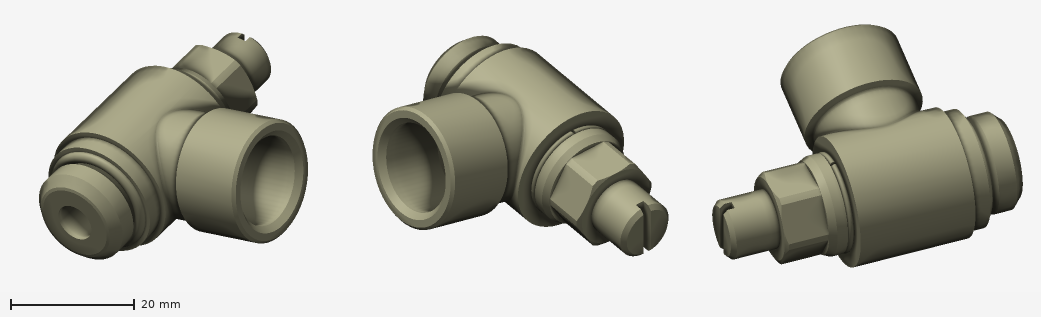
import cadquery as cq
import math

BODY_DIAMETER = 22
BODY_LENGTH = 20
BODY_FRONT = -BODY_LENGTH / 2
BODY_BACK = BODY_LENGTH / 2
OVERALL_LENGTH = 50
THREADED_END = -20
SCREW_END = THREADED_END + OVERALL_LENGTH

FLANGE_DIAMETER = 20
FLANGE_LENGTH = 3
SEAL_DIAMETER = 18.4
SEAL_THICKNESS = 2
NECK_DIAMETER = 14.5
STUB_DIAMETER = 16.5
STUB_INNER_CHAMFER = (STUB_DIAMETER - NECK_DIAMETER) / 2
STUB_LENGTH = 5.8
STUB_NOSE_DIAMETER = 13.5
STUB_NOSE_LENGTH = 1.55
END_FACE_DIAMETER = 12.5
END_TAPER_LENGTH = 0.15
BORE_DIAMETER = 6.5
BORE_DEPTH = 10

RING_DIAMETER = 17
RING_WIDTH = 1
RING_GAP = 0.55
COLLAR_SPACING = 1.2
COLLAR_DIAMETER = 16.85
COLLAR_TOP_DIAMETER = 15.7
COLLAR_LENGTH = 3.1
COLLAR_CHAMFER = 1.25

HEX_ACROSS_FLATS = 14
HEX_CORNER_DIAMETER = 15.5
HEX_LENGTH = 7.4
HEX_CHAMFER_WIDTH = 0.75
HEX_CHAMFER_HEIGHT = HEX_CHAMFER_WIDTH * math.tan(math.radians(30))
SCREW_DIAMETER = 10
SCREW_CHAMFER = 0.75
SLOT_WIDTH = 1.55
SLOT_DEPTH = 2

BRANCH_TILT = 15
BRANCH_DIAMETER = 18
BRANCH_ROOT_FILLET = 0.4
SOCKET_DIAMETER = 20.5
SOCKET_START = 13.5
SOCKET_CONE_LENGTH = 0.7
SOCKET_ROOT_FILLET = 0.5
SOCKET_END = 26
SOCKET_CHAMFER = 0.5
SOCKET_BORE_DIAMETER = 15
SOCKET_MOUTH_DIAMETER = 17
SOCKET_MOUTH_CHAMFER = (SOCKET_MOUTH_DIAMETER - SOCKET_BORE_DIAMETER) / 2
SOCKET_BORE_DEPTH = 12


def cylinder(diameter, start, length):
    """Cylinder on the main axis, growing towards +Y from y = start."""
    plane = cq.Plane(origin=(0, start, 0), xDir=(1, 0, 0), normal=(0, 1, 0))
    return cq.Workplane(plane).circle(diameter / 2).extrude(length)


def round_ring(outer_diameter, thickness, middle):
    """Ring of circular section around the main axis, centred on y = middle."""
    section_radius = (outer_diameter - thickness) / 2
    section = cq.Workplane("XY").moveTo(section_radius, middle).circle(thickness / 2)
    return section.revolve(360, (0, 0), (0, 1))


def make_branch():
    """Branch neck and socket, along +X."""
    socket_radius = SOCKET_DIAMETER / 2
    profile = [
        (0, 0),
        (0, BRANCH_DIAMETER / 2),
        (SOCKET_START, BRANCH_DIAMETER / 2),
        (SOCKET_START + SOCKET_CONE_LENGTH, socket_radius),
        (SOCKET_END - SOCKET_CHAMFER, socket_radius),
        (SOCKET_END, socket_radius - SOCKET_CHAMFER),
        (SOCKET_END, 0),
    ]
    branch = cq.Workplane("XY").polyline(profile).close().revolve(360, (0, 0), (1, 0))
    root_edge = branch.edges(cq.selectors.NearestToPointSelector((SOCKET_START, 0, 0)))
    return root_edge.fillet(SOCKET_ROOT_FILLET)


def make_socket_bore():
    """Blind bore with a chamfered mouth, along +X."""
    bore_radius = SOCKET_BORE_DIAMETER / 2
    profile = [
        (SOCKET_END - SOCKET_BORE_DEPTH, 0),
        (SOCKET_END - SOCKET_BORE_DEPTH, bore_radius),
        (SOCKET_END - SOCKET_MOUTH_CHAMFER, bore_radius),
        (SOCKET_END, SOCKET_MOUTH_DIAMETER / 2),
        (SOCKET_END, 0),
    ]
    return cq.Workplane("XY").polyline(profile).close().revolve(360, (0, 0), (1, 0))


def tilt(shape):
    """Turn a shape about the main axis so that +X rises towards +Z."""
    return shape.rotate((0, 0, 0), (0, 1, 0), -BRANCH_TILT)


def make_body():
    """Main cylinder with the branch, filleted where they meet."""
    body = cylinder(BODY_DIAMETER, BODY_FRONT, BODY_LENGTH)
    body = body.union(make_branch())
    reach = BODY_DIAMETER / 2 - 0.5
    root_edges = body.edges(cq.selectors.BoxSelector((0.5, -reach, -reach), (reach, reach, reach)))
    return tilt(root_edges.fillet(BRANCH_ROOT_FILLET))


def make_stub():
    """Flange, seal and threaded stub."""
    flange_front = BODY_FRONT - FLANGE_LENGTH
    flange = cylinder(FLANGE_DIAMETER, flange_front, FLANGE_LENGTH)
    seal = round_ring(SEAL_DIAMETER, SEAL_THICKNESS, flange_front)
    neck = cylinder(NECK_DIAMETER, THREADED_END + STUB_LENGTH, BODY_FRONT - THREADED_END - STUB_LENGTH)
    stub_front = THREADED_END + END_TAPER_LENGTH
    stub = cylinder(STUB_DIAMETER, stub_front, STUB_LENGTH - END_TAPER_LENGTH)
    nose_width = (STUB_DIAMETER - STUB_NOSE_DIAMETER) / 2
    stub = stub.faces("<Y").chamfer(STUB_NOSE_LENGTH, nose_width)
    stub = stub.faces(">Y").chamfer(STUB_INNER_CHAMFER)
    tip = cylinder(STUB_NOSE_DIAMETER, THREADED_END, 2 * END_TAPER_LENGTH)
    tip = tip.faces("<Y").chamfer(END_TAPER_LENGTH, (STUB_NOSE_DIAMETER - END_FACE_DIAMETER) / 2)
    return flange.union(seal).union(neck).union(stub).union(tip)


def make_snap_ring():
    """Ring of round section, split on the +Z side."""
    ring = round_ring(RING_DIAMETER, RING_WIDTH, BODY_BACK + RING_WIDTH / 2)
    gap = cq.Workplane("XY").box(RING_GAP, RING_WIDTH, RING_DIAMETER / 2, centered=(True, False, False))
    return ring.cut(gap.translate((0, BODY_BACK, 0)))


def make_collar():
    """Collar above the snap ring, with the groove floor that carries the ring."""
    start = BODY_BACK + COLLAR_SPACING
    collar = cylinder(COLLAR_DIAMETER, start, COLLAR_LENGTH)
    chamfer_width = (COLLAR_DIAMETER - COLLAR_TOP_DIAMETER) / 2
    collar = collar.faces(">Y").chamfer(COLLAR_CHAMFER, chamfer_width)
    groove_floor = cylinder(COLLAR_TOP_DIAMETER, BODY_BACK, COLLAR_SPACING)
    return collar.union(groove_floor)


def make_hexagon(start):
    """Hexagon with flats facing +Z and -Z and turned-down corners."""
    plane = cq.Plane(origin=(0, start, 0), xDir=(1, 0, 0), normal=(0, 1, 0))
    across_corners = HEX_ACROSS_FLATS / math.cos(math.radians(30))
    prism = cq.Workplane(plane).polygon(6, across_corners).extrude(HEX_LENGTH)
    envelope = cylinder(HEX_CORNER_DIAMETER, start, HEX_LENGTH)
    envelope = envelope.faces(">Y").chamfer(HEX_CHAMFER_HEIGHT, HEX_CHAMFER_WIDTH)
    return prism.intersect(envelope)


def make_screw(start):
    """Adjusting screw with a driver slot along Z."""
    screw = cylinder(SCREW_DIAMETER, start, SCREW_END - start).faces(">Y").chamfer(SCREW_CHAMFER)
    slot = cq.Workplane("XY").box(SLOT_WIDTH, SLOT_DEPTH, SCREW_DIAMETER, centered=(True, False, True))
    return screw.cut(slot.translate((0, SCREW_END - SLOT_DEPTH, 0)))


hex_start = BODY_BACK + COLLAR_SPACING + COLLAR_LENGTH
result = make_body().union(make_stub()).union(make_collar()).union(make_snap_ring())
result = result.union(make_hexagon(hex_start)).union(make_screw(hex_start + HEX_LENGTH))
result = result.cut(tilt(make_socket_bore()))
result = result.cut(cylinder(BORE_DIAMETER, THREADED_END, BORE_DEPTH))